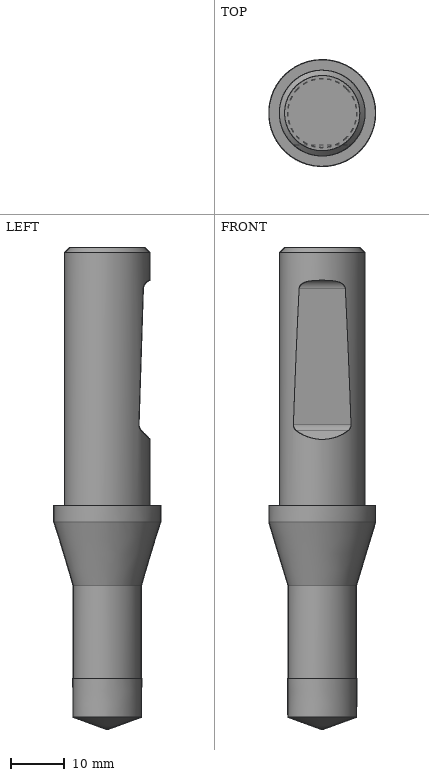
import cadquery as cq

total_length = 90.0

tip_diameter = 12.9
tip_top_diameter = 13.0
point_height = 2.3
tip_top = 9.5

neck_diameter = 12.8
neck_top = 26.9
collar_diameter = 20.0
collar_bottom = 38.8
collar_top = 41.85

shank_diameter = 16.0
shank_chamfer = 1.0

flat_top = 82.35
flat_bottom = 57.0
flat_top_offset = 6.75
flat_bottom_offset = 5.9
upper_exit = 83.9
lower_exit = 54.2
upper_runout_radius = 1.8
lower_runout_radius = 1.6
ramp_rise = 1.6

tip_radius = tip_diameter / 2
tip_top_radius = tip_top_diameter / 2
neck_radius = neck_diameter / 2
collar_radius = collar_diameter / 2
shank_radius = shank_diameter / 2


def revolve_about_z(profile):
    """Turn a closed (radius, height) profile about the Z axis."""
    return profile.close().revolve(360, (0, 0, 0), (0, 1, 0))


def make_tip():
    """Slightly tapered tip with a shallow conical point, just wider than the neck at its top."""
    profile = (
        cq.Workplane("XZ")
        .moveTo(0, 0)
        .lineTo(tip_radius, point_height)
        .lineTo(tip_top_radius, tip_top)
        .lineTo(0, tip_top)
    )
    return revolve_about_z(profile)


def make_flat_cutter():
    """Sloping flat with a curved upper and a ramped lower run-out, wide enough to cross the shank."""
    return (
        cq.Workplane("YZ")
        .moveTo(-flat_bottom_offset, flat_bottom)
        .lineTo(-flat_top_offset, flat_top)
        .radiusArc((-shank_radius, upper_exit), -upper_runout_radius)
        .lineTo(-collar_radius, upper_exit)
        .lineTo(-collar_radius, lower_exit)
        .lineTo(-shank_radius, lower_exit)
        .lineTo(-(shank_radius - ramp_rise), lower_exit + ramp_rise)
        .radiusArc((-flat_bottom_offset, flat_bottom), -lower_runout_radius)
        .close()
        .extrude(shank_radius, both=True)
    )


def make_holder():
    """Neck, tapered shoulder, collar and chamfered shank, with the flat cut into the shank."""
    profile = (
        cq.Workplane("XZ")
        .moveTo(0, tip_top)
        .lineTo(neck_radius, tip_top)
        .lineTo(neck_radius, neck_top)
        .lineTo(collar_radius, collar_bottom)
        .lineTo(collar_radius, collar_top)
        .lineTo(shank_radius, collar_top)
        .lineTo(shank_radius, total_length - shank_chamfer)
        .lineTo(shank_radius - shank_chamfer, total_length)
        .lineTo(0, total_length)
    )
    return revolve_about_z(profile).cut(make_flat_cutter())


tip = make_tip()
holder = make_holder()

result = cq.Compound.makeCompound([tip.val(), holder.val()])